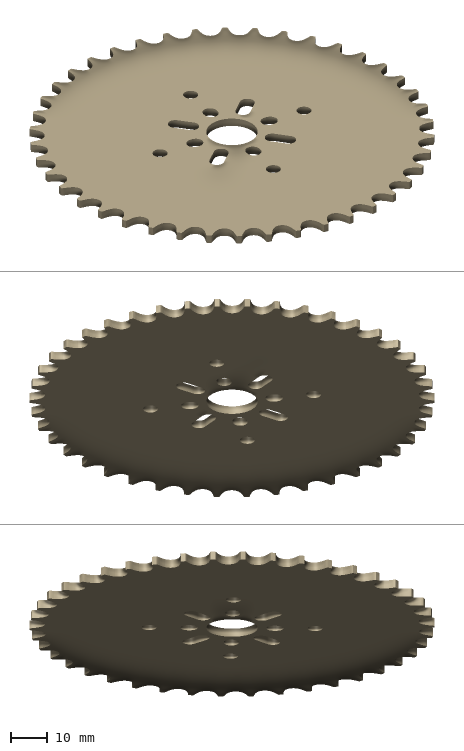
import cadquery as cq
import math

thickness = 2.3
tooth_count = 42
tip_radius = 55.1
root_radius = 51.0
pitch_angle = 2 * math.pi / tooth_count

seat_radius = 2.5
working_radius = 6.5
straight_length = 0.72
topping_radius = 2.8
seat_lean = math.radians(35 + 60 / tooth_count)
working_sweep = math.radians(18 - 56 / tooth_count)
straight_lean = seat_lean - working_sweep

bore_diameter = 14.0
hole_width = 4.1
bolt_spacing = 32.0
slot_inner = 11.4
slot_outer = bolt_spacing / 2
short_slot_length = 4.7
short_slot_distance = 11.7


def polar(centre, radius, angle):
    """Point at a radius and angle from a centre."""
    x, y = centre
    return (x + radius * math.cos(angle), y + radius * math.sin(angle))


def turned(point, angle):
    """Rotate a 2D point about the origin."""
    x, y = point
    return polar((0, 0), math.hypot(x, y), math.atan2(y, x) + angle)


def mirrored(point):
    """Reflect a 2D point to the other side of the X axis."""
    return (point[0], -point[1])


def gap_side():
    """Points up the left side of a gap centred on the +X axis, from the seat end to the tip corner."""
    left = math.pi / 2
    seat_centre = (root_radius + seat_radius, 0)
    seat_end = polar(seat_centre, seat_radius, left + seat_lean)

    working_centre = polar(seat_end, -working_radius, left + seat_lean)
    working_mid = polar(working_centre, working_radius, left + seat_lean - working_sweep / 2)
    working_end = polar(working_centre, working_radius, left + straight_lean)
    straight_end = polar(working_end, straight_length, straight_lean)

    topping_centre = polar(straight_end, topping_radius, left + straight_lean)
    centre_distance = math.hypot(*topping_centre)
    excess = tip_radius**2 - centre_distance**2 - topping_radius**2
    cos_offset = excess / (2 * centre_distance * topping_radius)
    start_angle = straight_lean - left
    tip_angle = math.atan2(topping_centre[1], topping_centre[0]) - math.acos(cos_offset)
    topping_mid = polar(topping_centre, topping_radius, (start_angle + tip_angle) / 2)
    tip_corner = polar(topping_centre, topping_radius, tip_angle)
    return seat_end, working_mid, working_end, straight_end, topping_mid, tip_corner


def toothed_plate():
    """Flat plate with the full ring of teeth; a gap is centred on the +X axis."""
    right_side = [mirrored(point) for point in gap_side()]
    outline = cq.Workplane("XY").moveTo(*right_side[-1])
    for i in range(tooth_count):
        angle = i * pitch_angle
        left = [turned(point, angle) for point in gap_side()]
        right = [turned(point, angle) for point in right_side]
        seat_end, working_mid, working_end, straight_end, topping_mid, tip_corner = left
        seat_start, fall_mid, fall_end, straight_start, shoulder_mid, _ = right
        floor = polar((0, 0), root_radius, angle)
        tip_mid = polar((0, 0), tip_radius, angle + pitch_angle / 2)
        next_corner = turned(right_side[-1], angle + pitch_angle)

        outline = outline.threePointArc(shoulder_mid, straight_start).lineTo(*fall_end)
        outline = outline.threePointArc(fall_mid, seat_start)
        outline = outline.threePointArc(floor, seat_end).threePointArc(working_mid, working_end)
        outline = outline.lineTo(*straight_end).threePointArc(topping_mid, tip_corner)
        outline = outline.threePointArc(tip_mid, next_corner)
    return outline.close().extrude(thickness)


def radial_slots(middle, length, start_angle):
    """Four radial slots, a quarter turn apart."""
    return (
        cq.Workplane("XY")
        .polarArray(middle, start_angle, 360, 4)
        .slot2D(length, hole_width)
        .extrude(thickness)
    )


def round_holes():
    """Central bore and the square of bolt holes."""
    bore = cq.Workplane("XY").circle(bore_diameter / 2).extrude(thickness)
    bolts = (
        cq.Workplane("XY")
        .rect(bolt_spacing, bolt_spacing, forConstruction=True)
        .vertices()
        .circle(hole_width / 2)
        .extrude(thickness)
    )
    return bore.union(bolts)


long_slots = radial_slots((slot_inner + slot_outer) / 2, slot_outer - slot_inner + hole_width, 0)
short_slots = radial_slots(short_slot_distance, short_slot_length, 45)

result = toothed_plate().cut(round_holes()).cut(long_slots).cut(short_slots)